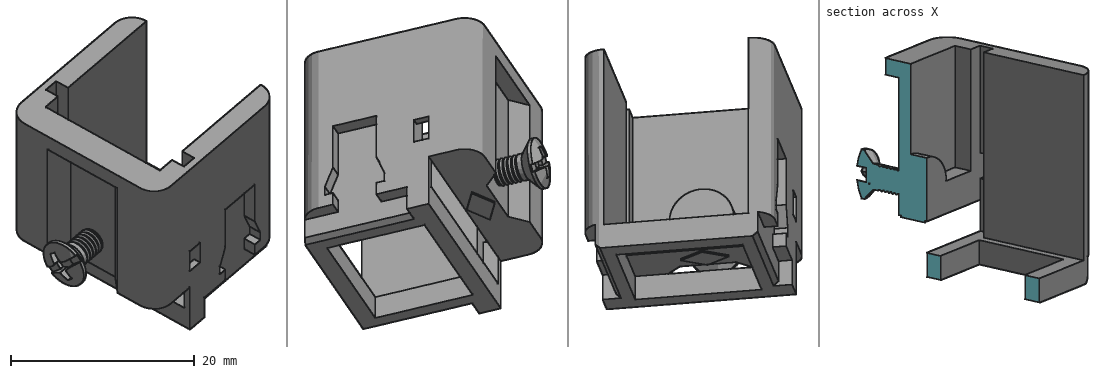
import cadquery as cq
import math

width = 21.0
depth = 21.0
height = 24.0
corner_radius = 2.4
side_wall = 2.5
front_wall = 3.5
floor_thickness = 2.8
front_y = -depth / 2
back_y = depth / 2
cavity_width = width - 2 * side_wall
cavity_front_y = front_y + front_wall

floor_opening_width = 14.0
floor_opening_length = 11.45
floor_opening_back_margin = 2.0

groove_front_offset = 5.65
groove_front_y = front_y + groove_front_offset
groove_length = 1.75
groove_span = 19.35
notch_height = 6.35

window_bottom_z = 8.8
window_height = 2.95

recess_depth = 1.5
recess_center_offset = 6.65
recess_base_length = 12.8
recess_center_y = back_y - recess_center_offset
recess_base_front_y = back_y - recess_base_length
recess_base_top_z = 2.95
recess_barb_bottom_z = 4.5
recess_barb_top_z = 5.6
recess_taper_top_z = 7.95
recess_top_z = 13.5
recess_stem_width = 5.1
recess_barb_width = 7.0
recess_chamfer = 0.55

channel_depth = 1.82
channel_floor_width = 6.2
channel_mouth_width = channel_floor_width + 2 * channel_depth
channel_top_z = 22.05

screw_z = 10.1
boss_radius = 3.55
shelf_top_z = screw_z

diamond_width = 5.3
diamond_length = 3.3
diamond_height = 0.2
diamond_offset = 3.75
diamond_y = front_y + diamond_offset

thread_radius = 1.5
thread_root_radius = 1.33
thread_pitch = 0.5
collar_start = 1.02
collar_end = 1.62
head_radius = 2.83
head_cone_end = 2.85
head_rim_end = 3.26
dome_radius = 6.25
thread_turns = 6
screw_root_embed = 0.5

drive_slot_floor = 3.05
drive_slot_width = 0.84
cross_floor = 2.6
cross_tip_width = 0.8
cross_long_reach = 1.74
cross_short_reach = 1.24
cross_inner_corner = 0.8
drive_angle = 45.0


def block(x_size, y_min, y_max, z_min, z_max):
    """Box centred on X between the given Y and Z limits."""
    return (
        cq.Workplane("XY")
        .box(x_size, y_max - y_min, z_max - z_min, centered=(True, False, False))
        .translate((0, y_min, z_min))
    )


def front_plane(distance):
    """Plane facing -Y on the screw axis, the given distance in front of the housing."""
    return cq.Plane(origin=(0, front_y - distance, screw_z), xDir=(1, 0, 0), normal=(0, -1, 0))


def make_housing():
    shell = cq.Workplane("XY").box(width, depth, height, centered=(True, True, False))
    shell = shell.edges("|Z").fillet(corner_radius)
    shell = shell.cut(block(cavity_width, cavity_front_y, back_y, floor_thickness, height))
    groove_back_y = groove_front_y + groove_length
    shell = shell.cut(block(groove_span, groove_front_y, groove_back_y, floor_thickness, height))
    opening_back_y = back_y - floor_opening_back_margin
    opening_front_y = opening_back_y - floor_opening_length
    shell = shell.cut(block(floor_opening_width, opening_front_y, opening_back_y, 0, floor_thickness))
    shell = shell.cut(block(width, front_y, groove_front_y, 0, notch_height))
    window_top_z = window_bottom_z + window_height
    return shell.cut(block(width, groove_front_y, groove_back_y, window_bottom_z, window_top_z))


def make_catch_recess():
    """Recess cutter for the -X side, with a chamfer along its lower edge."""
    half_stem = recess_stem_width / 2
    half_barb = recess_barb_width / 2
    outline = [
        (recess_base_front_y, 0),
        (back_y, 0),
        (back_y, recess_base_top_z),
        (recess_center_y + half_stem, recess_base_top_z),
        (recess_center_y + half_stem, recess_barb_bottom_z),
        (recess_center_y + half_barb, recess_barb_bottom_z),
        (recess_center_y + half_barb, recess_barb_top_z),
        (recess_center_y + half_stem, recess_taper_top_z),
        (recess_center_y + half_stem, recess_top_z),
        (recess_center_y - half_stem, recess_top_z),
        (recess_center_y - half_stem, recess_taper_top_z),
        (recess_center_y - half_barb, recess_barb_top_z),
        (recess_center_y - half_barb, recess_barb_bottom_z),
        (recess_center_y - half_stem, recess_barb_bottom_z),
        (recess_center_y - half_stem, recess_base_top_z),
        (recess_base_front_y, recess_base_top_z),
    ]
    outer_x = -width / 2
    floor_x = outer_x + recess_depth
    recess = cq.Workplane("YZ").polyline(outline).close().extrude(recess_depth)
    recess = recess.translate((outer_x, 0, 0))
    chamfer_outline = [
        (outer_x, 0),
        (floor_x + recess_chamfer, 0),
        (floor_x, recess_chamfer),
        (outer_x, recess_chamfer),
    ]
    chamfer = (
        cq.Workplane("XZ", origin=(0, back_y, 0))
        .polyline(chamfer_outline)
        .close()
        .extrude(back_y - recess_base_front_y)
    )
    return recess.union(chamfer)


def make_front_channel():
    half_mouth = channel_mouth_width / 2
    half_floor = channel_floor_width / 2
    floor_y = front_y + channel_depth
    outline = [
        (-half_mouth, front_y),
        (half_mouth, front_y),
        (half_floor, floor_y),
        (-half_floor, floor_y),
    ]
    return (
        cq.Workplane("XY", origin=(0, 0, notch_height))
        .polyline(outline)
        .close()
        .extrude(channel_top_z - notch_height)
    )


def make_boss():
    boss_length = groove_front_y - cavity_front_y
    shelf = block(cavity_width, cavity_front_y, groove_front_y, notch_height, shelf_top_z)
    disc = (
        cq.Workplane("XZ", origin=(0, groove_front_y, screw_z))
        .circle(boss_radius)
        .extrude(boss_length)
    )
    diamond_outline = [
        (-diamond_width / 2, 0),
        (0, -diamond_length / 2),
        (diamond_width / 2, 0),
        (0, diamond_length / 2),
    ]
    diamond = (
        cq.Workplane("XY", origin=(0, diamond_y, notch_height - diamond_height))
        .polyline(diamond_outline)
        .close()
        .extrude(diamond_height)
    )
    return shelf.union(disc).union(diamond)


def make_screw():
    """Screw revolved about its axis; profile points are (radius, distance from front face)."""
    dome_center = head_rim_end - math.sqrt(dome_radius**2 - head_radius**2)
    dome_mid_radius = head_radius / 2
    dome_mid = dome_center + math.sqrt(dome_radius**2 - dome_mid_radius**2)
    thread_start = collar_start - thread_turns * thread_pitch
    root_end = -channel_depth - screw_root_embed

    profile = cq.Workplane("XY").moveTo(0, root_end).lineTo(thread_root_radius, root_end)
    profile = profile.lineTo(thread_root_radius, thread_start - thread_pitch / 2)
    for turn in range(thread_turns):
        crest = thread_start + turn * thread_pitch
        profile = profile.lineTo(thread_radius, crest)
        profile = profile.lineTo(thread_root_radius, crest + thread_pitch / 2)
    screw = (
        profile.lineTo(thread_radius, collar_start)
        .lineTo(thread_radius, collar_end)
        .lineTo(head_radius, head_cone_end)
        .lineTo(head_radius, head_rim_end)
        .threePointArc((dome_mid_radius, dome_mid), (0, dome_center + dome_radius))
        .close()
        .revolve(360, (0, 0, 0), (0, 1, 0))
    )
    screw = screw.rotate((0, 0, 0), (1, 0, 0), 180).translate((0, front_y, screw_z))
    return screw.cut(make_drive_recess(dome_center + dome_radius))


def make_drive_recess(head_end):
    """Cross recess plus a slot across the whole head, both turned to the drive angle."""
    half_tip = cross_tip_width / 2
    inner = cross_inner_corner * math.sqrt(0.5)
    outline = []
    for long_sign, short_sign in ((1, 1), (-1, 1), (-1, -1), (1, -1)):
        corner = [
            (long_sign * half_tip, short_sign * cross_long_reach),
            (long_sign * inner, short_sign * inner),
            (long_sign * cross_short_reach, short_sign * half_tip),
        ]
        outline += corner[::-1] if long_sign == short_sign else corner
    cross = (
        cq.Workplane(front_plane(cross_floor))
        .transformed(rotate=(0, 0, drive_angle))
        .polyline(outline)
        .close()
        .extrude(head_end - cross_floor)
    )
    slot = (
        cq.Workplane(front_plane(drive_slot_floor))
        .transformed(rotate=(0, 0, drive_angle))
        .rect(2 * head_radius, drive_slot_width)
        .extrude(head_end - drive_slot_floor)
    )
    return cross.union(slot)


catch_recess = make_catch_recess()
body = make_housing()
body = body.cut(catch_recess).cut(catch_recess.mirror("YZ"))
body = body.cut(make_front_channel())
body = body.union(make_boss())
result = body.union(make_screw())